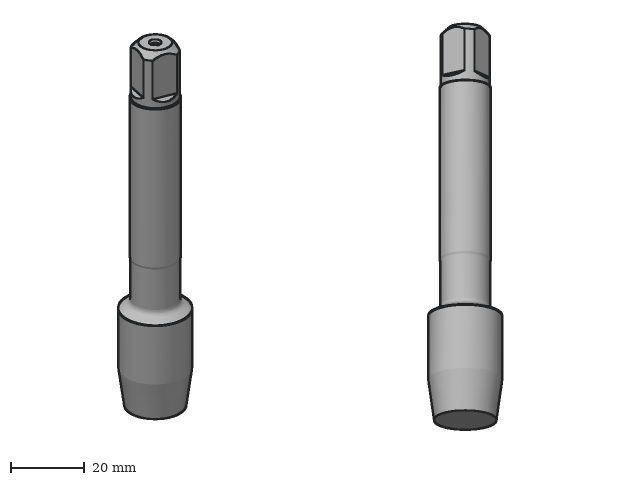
import cadquery as cq
import math

TOTAL_LENGTH = 112.0

EDGE_TOLERANCE = 0.1

HEAD_DIAMETER = 20.2
HEAD_LENGTH = 29.7
LEAD_LENGTH = 11.5
LEAD_TIP_DIAMETER = 17.0

SHOULDER_BASE_Z = 29.9
SHOULDER_SLOPE = math.radians(30)
ROOT_FILLET_RADIUS = 1.8
NECK_DIAMETER = 13.7
NECK_TOP_Z = 45.4

SHANK_DIAMETER = 14.0
SHANK_BOTTOM_Z = 46.0
SHANK_TOP_Z = 95.0
COLLAR_DIAMETER = 13.4
SHANK_CHAMFER = (SHANK_DIAMETER - COLLAR_DIAMETER) / 2

SQUARE_WIDTH = 11.2
SQUARE_LENGTH = 14.0
END_FACE_DIAMETER = 9.2
END_CHAMFER_HEIGHT = 2.1

CENTRE_HOLE_DIAMETER = 2.0
CENTRE_MOUTH_DIAMETER = 3.4
CENTRE_HOLE_DEPTH = 3.4
CENTRE_TIP_HALF_ANGLE = math.radians(60)


def revolve_profile(points):
    """Revolve (diameter, z) points about Z, closing the profile along the axis."""
    outline = [(diameter / 2, z) for diameter, z in points]
    if outline[0][0] > 0:
        outline.insert(0, (0, points[0][1]))
    outline.append((0, points[-1][1]))
    return cq.Workplane("XZ").polyline(outline).close().revolve(360, (0, 0, 0), (0, 1, 0))


def make_cutting_head():
    """Cylindrical thread envelope with a conical lead at its lower end."""
    return revolve_profile([
        (LEAD_TIP_DIAMETER, 0),
        (HEAD_DIAMETER, LEAD_LENGTH),
        (HEAD_DIAMETER, HEAD_LENGTH),
    ])


def make_turned_shank():
    """Shoulder, neck, shank and chamfered collar as one turned blank."""
    cone_height = (HEAD_DIAMETER - NECK_DIAMETER) / 2 * math.tan(SHOULDER_SLOPE)
    neck_bottom_z = SHOULDER_BASE_Z + cone_height
    blank = revolve_profile([
        (HEAD_DIAMETER, HEAD_LENGTH),
        (HEAD_DIAMETER, SHOULDER_BASE_Z),
        (NECK_DIAMETER, neck_bottom_z),
        (NECK_DIAMETER, NECK_TOP_Z),
        (SHANK_DIAMETER, SHANK_BOTTOM_Z),
        (SHANK_DIAMETER, SHANK_TOP_Z),
        (COLLAR_DIAMETER, SHANK_TOP_Z + SHANK_CHAMFER),
        (COLLAR_DIAMETER, TOTAL_LENGTH - END_CHAMFER_HEIGHT),
        (END_FACE_DIAMETER, TOTAL_LENGTH),
    ])
    neck_root = cq.selectors.BoxSelector(
        (-HEAD_DIAMETER, -HEAD_DIAMETER, neck_bottom_z - EDGE_TOLERANCE),
        (HEAD_DIAMETER, HEAD_DIAMETER, neck_bottom_z + EDGE_TOLERANCE),
        boundingbox=True,
    )
    return blank.edges(neck_root).fillet(ROOT_FILLET_RADIUS)


def make_square_waste():
    """Material outside the driving square, its lower end sloping outward at 45 degrees."""
    square_bottom = TOTAL_LENGTH - SQUARE_LENGTH
    slope = (SHANK_DIAMETER - SQUARE_WIDTH) / 2
    slope_bottom = square_bottom - slope
    blank = (
        cq.Workplane("XY").workplane(offset=slope_bottom)
        .rect(SHANK_DIAMETER, SHANK_DIAMETER).extrude(TOTAL_LENGTH - slope_bottom)
    )
    square = (
        cq.Workplane("XY").workplane(offset=square_bottom)
        .rect(SQUARE_WIDTH, SQUARE_WIDTH).extrude(SQUARE_LENGTH)
    )
    sloped_base = (
        cq.Workplane("XY").workplane(offset=slope_bottom).rect(SHANK_DIAMETER, SHANK_DIAMETER)
        .workplane(offset=slope).rect(SQUARE_WIDTH, SQUARE_WIDTH).loft(ruled=True)
    )
    return blank.cut(square).cut(sloped_base)


def make_centre_hole():
    """Small blind hole with a conical bottom and a 45-degree countersunk mouth."""
    tip_height = CENTRE_HOLE_DIAMETER / 2 / math.tan(CENTRE_TIP_HALF_ANGLE)
    countersink_depth = (CENTRE_MOUTH_DIAMETER - CENTRE_HOLE_DIAMETER) / 2
    return revolve_profile([
        (0, TOTAL_LENGTH - CENTRE_HOLE_DEPTH - tip_height),
        (CENTRE_HOLE_DIAMETER, TOTAL_LENGTH - CENTRE_HOLE_DEPTH),
        (CENTRE_HOLE_DIAMETER, TOTAL_LENGTH - countersink_depth),
        (CENTRE_MOUTH_DIAMETER, TOTAL_LENGTH),
    ])


cutting_head = make_cutting_head()
shank = make_turned_shank().cut(make_square_waste()).cut(make_centre_hole())

result = cq.Compound.makeCompound([cutting_head.val(), shank.val()])